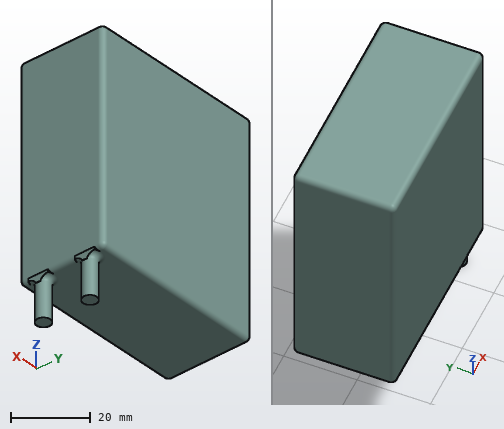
import cadquery as cq

body_length = 57.1
body_width = 27.9
total_height = 80.0
pin_length = 12.7
edge_radius = 1.6
pin_radius = 2.25
pin_spacing = 15.4
flare_radius = 1.6
neck_setback = 0.2

body_height = total_height - pin_length
body_end_x = body_length / 2
pin_x = body_end_x - pin_radius
neck_reach = pin_radius + flare_radius
neck_clip = pin_radius - neck_setback


def make_body():
    """Block with every edge rounded; its bottom lies on Z = 0."""
    block = cq.Workplane("XY").box(body_length, body_width, body_height, centered=(True, True, False))
    return block.edges().fillet(edge_radius)


def make_pin():
    """Round pin about the Z axis with a concave neck flaring into the body."""
    pin = cq.Workplane("XY").workplane(offset=-pin_length).circle(pin_radius).extrude(pin_length - flare_radius)
    neck = (
        cq.Workplane("XZ")
        .moveTo(0, -flare_radius)
        .lineTo(pin_radius, -flare_radius)
        .radiusArc((neck_reach, 0), flare_radius)
        .lineTo(neck_reach, edge_radius)
        .lineTo(0, edge_radius)
        .close()
        .revolve(360, (0, 0), (0, 1))
    )
    trim = cq.Workplane("XY").box(2 * neck_reach, 2 * neck_reach, 2 * neck_reach)
    trim = trim.translate((neck_clip - neck_reach, 0, 0))
    return pin.union(neck.intersect(trim))


result = make_body()
for pin_y in (-pin_spacing / 2, pin_spacing / 2):
    result = result.union(make_pin().translate((pin_x, pin_y, 0)))

result = result.translate((0, 0, pin_length - total_height / 2))